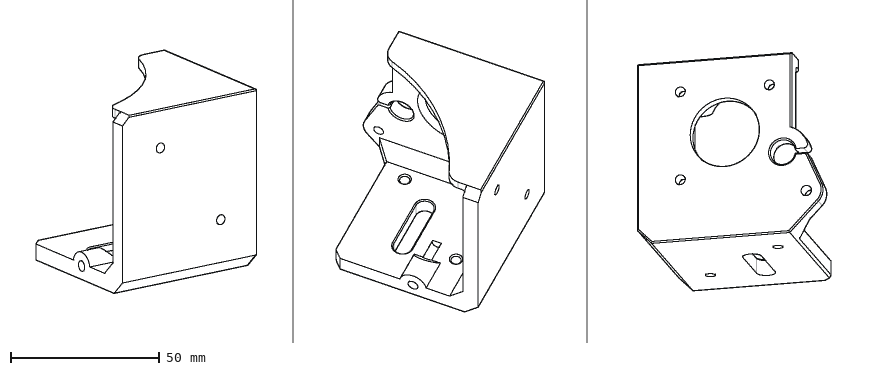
import cadquery as cq
import math

total_width = 64.65
depth = 55.5
height = 63.5
block_width = 53.85
wall = 5.7
lip_thickness = 3.2

inner_right = block_width - wall
inner_back = depth - wall
lip_underside = height - lip_thickness
overshoot = 3.2

floor_chamfer = 4.85
upright_chamfer = 2.0
lip_fillet = 2.0
outer_corner_chamfer = 5.0
front_corner_chamfer = 3.0
edge_chamfer = 0.5

lug_radius = 5.7
lug_x = block_width - total_width + lug_radius
lug_z = 14.2
lug_hole_diameter = 3.55
lug_foot_x = 0.8

clamp_x = 3.15
clamp_z = 28.6
clamp_bore_radius = 4.3
clamp_hook_radius = 9.0
slit_height = 1.5
mouth_rounding = 0.9
hook_tip_rounding = 1.3
slit_lower_z = clamp_z - slit_height / 2
slit_upper_z = clamp_z + slit_height / 2
slit_mouth_x = -5.25

motor_x = 23.3
motor_z = 37.05
motor_bore_radius = 12.0
motor_bore_chamfer = 2.0
motor_hole_pitch = 31.0
screw_diameter = 3.4
screw_chamfer = 0.5

pair_near_y = 15.6
pair_far_y = 40.4
floor_pair_left_x = 8.7
floor_pair_right_x = 38.7
wall_pair_low_z = 20.05
wall_pair_high_z = 49.85

slot_x = 19.9
slot_width = 6.45
slot_front_y = 10.4
slot_back_y = 35.05
slot_chamfer = 0.45

boss_x = 29.8
boss_z = 4.8
boss_radius = 4.9
boss_length = 11.9
pin_hole_diameter = 3.6
pin_hole_depth = 19.9

lip_setback = 3.1
lip_arc_x = -16.3
lip_arc_y = -15.2
lip_arc_radius = 60.6
lip_end_radius = 5.0


def tangent_point(from_x, from_z, side):
    """Point where a line from (from_x, from_z) touches the lug; side picks one of the two tangents."""
    dx = from_x - lug_x
    dz = from_z - lug_z
    spread = math.acos(lug_radius / math.hypot(dx, dz))
    angle = math.atan2(dz, dx) + side * spread
    return lug_x + lug_radius * math.cos(angle), lug_z + lug_radius * math.sin(angle)


def make_block():
    """Solid block with the lug, its rear edges and its upper right edge broken."""
    lug_start = tangent_point(slit_mouth_x, slit_lower_z, 1)
    lug_end = tangent_point(lug_foot_x, 0, -1)
    block = (
        cq.Workplane("XZ")
        .moveTo(0, height)
        .lineTo(0, slit_lower_z)
        .lineTo(slit_mouth_x, slit_lower_z)
        .lineTo(*lug_start)
        .threePointArc((lug_x - lug_radius, lug_z), lug_end)
        .lineTo(lug_foot_x, 0)
        .lineTo(block_width - outer_corner_chamfer, 0)
        .lineTo(block_width, outer_corner_chamfer)
        .lineTo(block_width, height)
        .close()
        .extrude(-depth)
    )
    mouth_edge = cq.selectors.NearestToPointSelector((slit_mouth_x, depth / 2, slit_lower_z))
    block = block.edges(mouth_edge).fillet(mouth_rounding)
    block = block.faces(">Y").edges().chamfer(edge_chamfer)
    upper_right_edge = cq.selectors.NearestToPointSelector((block_width, depth / 2, height))
    return block.edges(upper_right_edge).chamfer(edge_chamfer)


def cavity_section(plane, far_wall):
    """Upright section of the inner space: chamfered at the floor, filleted under the lip."""
    return (
        cq.Workplane(plane)
        .moveTo(-total_width, wall)
        .lineTo(far_wall - floor_chamfer, wall)
        .lineTo(far_wall, wall + floor_chamfer)
        .lineTo(far_wall, lip_underside - lip_fillet)
        .radiusArc((far_wall - lip_fillet, lip_underside), -lip_fillet)
        .lineTo(-total_width, lip_underside)
        .close()
        .extrude(total_width, both=True)
    )


def make_cavity():
    plan = (
        cq.Workplane("XY")
        .rect(2 * inner_right, 2 * inner_back)
        .extrude(height)
        .edges(">X and >Y")
        .chamfer(upright_chamfer)
    )
    return cavity_section("XZ", inner_right).intersect(cavity_section("YZ", inner_back)).intersect(plan)


def make_left_clearance():
    """Space left of the floor and in front of the lug; the floor flares out to meet the back plate."""
    return (
        cq.Workplane("XY")
        .moveTo(-total_width, -overshoot)
        .lineTo(0, -overshoot)
        .lineTo(0, inner_back - floor_chamfer)
        .lineTo(-floor_chamfer, inner_back)
        .lineTo(-total_width, inner_back)
        .close()
        .extrude(height)
    )


def make_lip_clearance():
    """Space in front of the curved edge of the top lip."""
    bottom = lip_underside - lip_fillet
    rise = height - bottom
    lip = (
        cq.Workplane("XY", origin=(0, 0, bottom))
        .moveTo(0, lip_setback)
        .lineTo(inner_right, lip_setback)
        .lineTo(inner_right, depth)
        .lineTo(0, depth)
        .close()
        .extrude(rise)
    )
    scoop = cq.Workplane("XY", origin=(lip_arc_x, lip_arc_y, bottom)).circle(lip_arc_radius).extrude(rise)
    left_end_y = lip_arc_y + math.sqrt(lip_arc_radius**2 - lip_arc_x**2)
    right_end_x = lip_arc_x + math.sqrt(lip_arc_radius**2 - (lip_setback - lip_arc_y) ** 2)
    lip = lip.cut(scoop)
    for corner in ((0, left_end_y), (right_end_x, lip_setback)):
        corner_edge = cq.selectors.NearestToPointSelector((*corner, bottom + rise / 2))
        lip = lip.edges(corner_edge).fillet(lip_end_radius)
    space = cq.Workplane("XY", origin=(0, 0, bottom)).rect(inner_right, inner_back, centered=False).extrude(rise)
    return space.cut(lip)


def make_hook():
    """Upper half of the clamp, ending in a rounded tip at the slit."""
    hook = (
        cq.Workplane("XZ", origin=(clamp_x, depth, clamp_z))
        .circle(clamp_hook_radius)
        .extrude(wall)
        .intersect(
            cq.Workplane("XY", origin=(0, 0, slit_upper_z))
            .rect(4 * clamp_hook_radius, 2 * depth)
            .extrude(clamp_hook_radius)
        )
    )
    return hook.edges("|Y and <X").fillet(hook_tip_rounding)


def countersink(center, direction, radius, chamfer):
    """Cone that breaks the rim of a hole; direction points into the material."""
    cone = cq.Solid.makeCone(radius + chamfer, radius, chamfer, cq.Vector(*center), cq.Vector(*direction))
    return cq.Workplane(cone)


def screw_hole(center, direction):
    """Clearance hole through one wall, broken at the inner face."""
    radius = screw_diameter / 2
    shank = cq.Solid.makeCylinder(radius, wall + overshoot, cq.Vector(*center), cq.Vector(*direction))
    return countersink(center, direction, radius, screw_chamfer).union(cq.Workplane(shank))


def back_plate_bore(x, z, radius):
    return cq.Workplane("XZ", origin=(x, depth + overshoot, z)).circle(radius).extrude(wall + 2 * overshoot)


block = make_block()
block = block.cut(make_cavity())
block = block.cut(make_left_clearance())
block = block.cut(make_lip_clearance())

floor_corner = (
    cq.Workplane("XY")
    .polyline([(0, 0), (front_corner_chamfer, 0), (0, front_corner_chamfer)])
    .close()
    .extrude(wall)
)
wall_corner = (
    cq.Workplane("YZ", origin=(inner_right, 0, 0))
    .polyline([(0, height), (lip_setback, height), (0, height - lip_setback)])
    .close()
    .extrude(wall)
)
block = block.cut(floor_corner).cut(wall_corner)

slit_length = clamp_x + total_width
slit = (
    cq.Workplane("XY", origin=(clamp_x - slit_length / 2, inner_back + wall / 2, clamp_z))
    .box(slit_length, wall, slit_height)
)
block = block.union(make_hook())
block = block.cut(slit)
block = block.cut(back_plate_bore(clamp_x, clamp_z, clamp_bore_radius))
for rim_y, inward in ((inner_back, 1), (depth, -1)):
    rim = countersink((clamp_x, rim_y, clamp_z), (0, inward, 0), clamp_bore_radius, edge_chamfer)
    block = block.cut(rim)

block = block.cut(back_plate_bore(lug_x, lug_z, lug_hole_diameter / 2))

block = block.cut(back_plate_bore(motor_x, motor_z, motor_bore_radius))
block = block.cut(countersink((motor_x, inner_back, motor_z), (0, 1, 0), motor_bore_radius, motor_bore_chamfer))
for side_x, side_z in ((-1, 1), (1, 1), (1, -1)):
    screw_x = motor_x + side_x * motor_hole_pitch / 2
    screw_z = motor_z + side_z * motor_hole_pitch / 2
    block = block.cut(screw_hole((screw_x, inner_back, screw_z), (0, 1, 0)))

for x, y in ((floor_pair_left_x, pair_far_y), (floor_pair_right_x, pair_near_y)):
    block = block.cut(screw_hole((x, y, wall), (0, 0, -1)))
for y, z in ((pair_far_y, wall_pair_low_z), (pair_near_y, wall_pair_high_z)):
    block = block.cut(screw_hole((inner_right, y, z), (1, 0, 0)))

slot = (
    cq.Workplane("XY", origin=(slot_x, (slot_front_y + slot_back_y) / 2, 0))
    .slot2D(slot_back_y - slot_front_y, slot_width, 90)
    .extrude(wall)
)
slot_rim = (
    cq.Workplane("XY", origin=(slot_x, (slot_front_y + slot_back_y) / 2, wall))
    .slot2D(slot_back_y - slot_front_y + 2 * slot_chamfer, slot_width + 2 * slot_chamfer, 90)
    .extrude(-slot_chamfer, taper=45)
)
block = block.cut(slot).cut(slot_rim)

boss = cq.Workplane("XZ", origin=(boss_x, 0, boss_z)).circle(boss_radius).extrude(-boss_length)
boss_slope = (
    cq.Workplane("YZ")
    .polyline([(0, 0), (boss_length, 0), (boss_length, wall), (0, wall + boss_length)])
    .close()
    .extrude(block_width)
)
pin_hole = (
    cq.Workplane("XZ", origin=(boss_x, 0, boss_z))
    .circle(pin_hole_diameter / 2)
    .extrude(-pin_hole_depth)
)
block = block.union(boss.intersect(boss_slope))
block = block.cut(pin_hole)

result = block